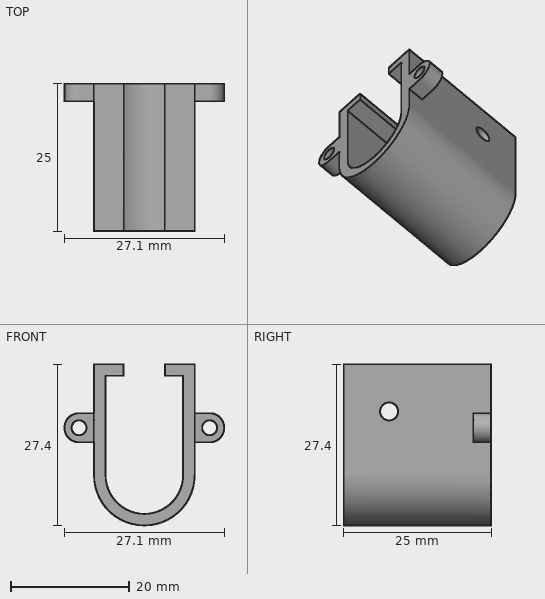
import cadquery as cq

height = 27.35
length = 25.0
overall_width = 27.1

channel_width = 17.1
wall = 2.0
slot_width = 7.0
outer_radius = channel_width / 2
inner_radius = outer_radius - wall
top_z = height - outer_radius

ear_radius = 2.5
ear_hole_diameter = 2.5
ear_thickness = 3.0
ear_drop = 10.78
ear_x = overall_width / 2 - ear_radius
ear_z = top_z - ear_drop

cross_hole_diameter = 3.0
cross_hole_from_back = 17.29
cross_hole_drop = 8.0


def u_prism(radius, top):
    """Full-length solid with a semicircular bottom and a flat top."""
    return (
        cq.Workplane("XZ")
        .moveTo(-radius, top)
        .lineTo(-radius, 0)
        .threePointArc((0, -radius), (radius, 0))
        .lineTo(radius, top)
        .close()
        .extrude(-length)
    )


def make_channel():
    """Channel with a hollow below the lips and a slot between them."""
    slot = cq.Workplane("XY").box(slot_width, length, top_z, centered=(True, False, False))
    return u_prism(outer_radius, top_z).cut(u_prism(inner_radius, top_z - wall)).cut(slot)


def make_ear(side):
    """Round-ended ear on the left (-1) or right (+1) wall, with its screw hole."""
    ear_plane = cq.Workplane("XZ", origin=(0, length, 0))
    wall_center_x = side * (outer_radius - wall / 2)
    tip_x = side * ear_x
    web = (
        ear_plane.center((wall_center_x + tip_x) / 2, ear_z)
        .rect(abs(tip_x - wall_center_x), 2 * ear_radius)
        .extrude(ear_thickness)
    )
    tip = ear_plane.center(tip_x, ear_z).circle(ear_radius).extrude(ear_thickness)
    hole = ear_plane.center(tip_x, ear_z).circle(ear_hole_diameter / 2).extrude(ear_thickness)
    return web.union(tip).cut(hole)


result = make_channel()
for side in (-1, 1):
    result = result.union(make_ear(side))

cross_hole = (
    cq.Workplane("YZ")
    .center(length - cross_hole_from_back, top_z - cross_hole_drop)
    .circle(cross_hole_diameter / 2)
    .extrude(outer_radius, both=True)
)
result = result.cut(cross_hole)